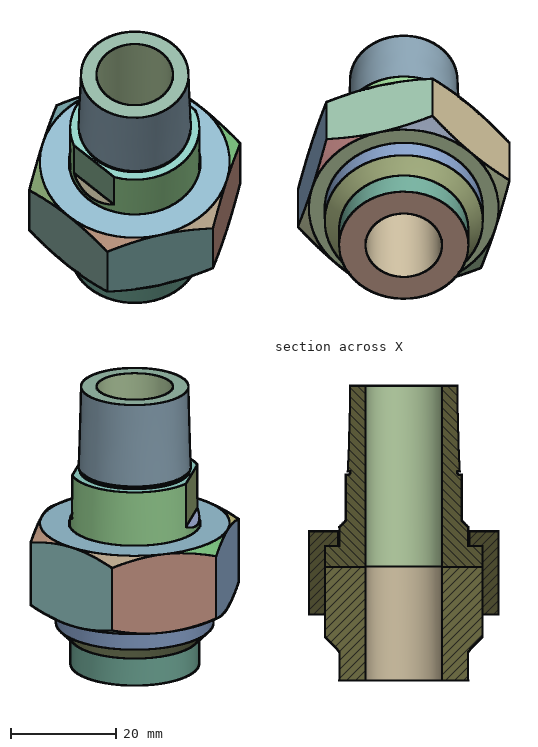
import cadquery as cq
import math

TOTAL_HEIGHT = 56.0
SOCKET_NECK_TOP = 5.5
SOCKET_CONE_TOP = 8.3
NUT_BOTTOM = 12.55
NUT_TOP = 28.4
NUT_LIP_THICKNESS = 2.8
FLANGE_THICKNESS = 3.9
FLAT_BOTTOM = 30.35
COLLAR_TOP = 39.1
GROOVE_HEIGHT = 0.6
GROOVE_FLARE = 0.3

BORE_DIAMETER = 14.5
COLLAR_DIAMETER = 24.5
SOCKET_DIAMETER = 30.0
NUT_ACROSS_FLATS = 36.0
NUT_OPENING_DIAMETER = 25.0
GROOVE_DIAMETER = 20.4
THREAD_BASE_DIAMETER = 21.35
THREAD_TIP_DIAMETER = 20.45
COLLAR_ACROSS_FLATS = 22.05
NUT_CHAMFER_ANGLE = 30.0

bore_radius = BORE_DIAMETER / 2
collar_radius = COLLAR_DIAMETER / 2
socket_radius = SOCKET_DIAMETER / 2
nut_ceiling = NUT_TOP - NUT_LIP_THICKNESS
joint_height = nut_ceiling - FLANGE_THICKNESS
nut_apothem = NUT_ACROSS_FLATS / 2
nut_corner_radius = nut_apothem / math.cos(math.radians(30))


def revolve_profile(points):
    """Revolve a closed (radius, height) outline about the Z axis."""
    return cq.Workplane("XZ").polyline(points).close().revolve(360, (0, 0), (0, 1))


def make_socket():
    """Lower end: a narrow neck widening to the body that enters the nut."""
    return revolve_profile([
        (bore_radius, 0),
        (collar_radius, 0),
        (collar_radius, SOCKET_NECK_TOP),
        (socket_radius, SOCKET_CONE_TOP),
        (socket_radius, joint_height),
        (bore_radius, joint_height),
    ])


def make_flat_cutter():
    """Wrench flat on the -Y side, whose lower end runs out at 45 degrees."""
    flat_y = -COLLAR_ACROSS_FLATS / 2
    outer_y = -collar_radius - 0.55
    runout_bottom = FLAT_BOTTOM - (flat_y - outer_y)
    return (
        cq.Workplane("YZ")
        .polyline([
            (flat_y, COLLAR_TOP),
            (flat_y, FLAT_BOTTOM),
            (outer_y, runout_bottom),
            (outer_y, COLLAR_TOP),
        ])
        .close()
        .extrude(collar_radius, both=True)
    )


def make_tailpiece():
    """Upper end: a flange held in the nut, a collar with flats and a tapered end."""
    groove_radius = GROOVE_DIAMETER / 2
    thread_bottom = COLLAR_TOP + GROOVE_HEIGHT
    body = revolve_profile([
        (bore_radius, joint_height),
        (socket_radius, joint_height),
        (socket_radius, nut_ceiling),
        (collar_radius, nut_ceiling),
        (collar_radius, COLLAR_TOP),
        (groove_radius + GROOVE_FLARE, COLLAR_TOP),
        (groove_radius, COLLAR_TOP + GROOVE_FLARE),
        (groove_radius, thread_bottom),
        (THREAD_BASE_DIAMETER / 2, thread_bottom),
        (THREAD_TIP_DIAMETER / 2, TOTAL_HEIGHT),
        (bore_radius, TOTAL_HEIGHT),
    ])
    flat_cutter = make_flat_cutter()
    return body.cut(flat_cutter).cut(flat_cutter.mirror("XZ"))


def make_nut():
    """Hexagonal union nut, chamfered at both ends, with an inner lip at the top."""
    height = NUT_TOP - NUT_BOTTOM
    chamfer_height = (nut_corner_radius - nut_apothem) * math.tan(math.radians(NUT_CHAMFER_ANGLE))
    hexagon = (
        cq.Workplane("XY", origin=(0, 0, NUT_BOTTOM))
        .polygon(6, 2 * nut_corner_radius)
        .extrude(height)
    )
    chamfered_envelope = revolve_profile([
        (0, NUT_BOTTOM),
        (nut_apothem, NUT_BOTTOM),
        (nut_corner_radius, NUT_BOTTOM + chamfer_height),
        (nut_corner_radius, NUT_TOP - chamfer_height),
        (nut_apothem, NUT_TOP),
        (0, NUT_TOP),
    ])
    cavity = (
        cq.Workplane("XY", origin=(0, 0, NUT_BOTTOM))
        .circle(socket_radius)
        .extrude(nut_ceiling - NUT_BOTTOM)
    )
    opening = (
        cq.Workplane("XY", origin=(0, 0, NUT_BOTTOM))
        .circle(NUT_OPENING_DIAMETER / 2)
        .extrude(height)
    )
    return hexagon.intersect(chamfered_envelope).cut(cavity).cut(opening)


socket = make_socket()
tailpiece = make_tailpiece()
nut = make_nut()

result = cq.Compound.makeCompound([socket.val(), *tailpiece.solids().vals(), *nut.solids().vals()])